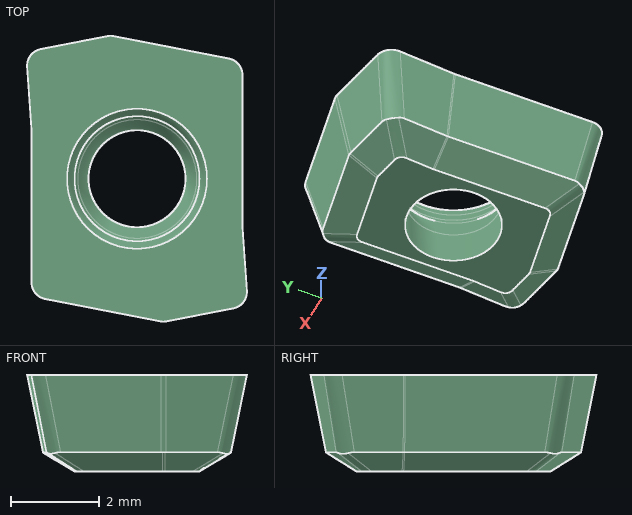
import cadquery as cq
import math

LENGTH = 6.5
HEIGHT = 2.2

STRAIGHT_WALL_X = 2.4
KNEE_Y = 1.12
FLARE_ANGLE = 4.0
PEAK_X = 0.6
END_SLOPE = 11.0

CORNER_RADIUS = 0.4
PEAK_RADIUS = 0.3
KNEE_RADIUS = 0.5

RELIEF_ANGLE = 11.0
BEVEL_ANGLE = 57.5
BEVEL_HEIGHT = 0.44

BORE_RADIUS = 1.1
SEAT_RADIUS = 1.35
COUNTERBORE_RADIUS = 1.42
MOUTH_RADIUS = 1.59
MOUTH_ARC_RADIUS = 0.4
COUNTERBORE_DEPTH = 0.5
COUNTERBORE_ARC_RADIUS = 0.25
SEAT_ARC_RADIUS = 1.0


def tan_deg(angle):
    return math.tan(math.radians(angle))


def cos_deg(angle):
    return math.cos(math.radians(angle))


def sin_deg(angle):
    return math.sin(math.radians(angle))


def wall_line(point, normal_angle, inset):
    """Wall as (nx, ny, distance from the axis), moved inward by inset."""
    nx = cos_deg(normal_angle)
    ny = sin_deg(normal_angle)
    return nx, ny, nx * point[0] + ny * point[1] - inset


def intersect(first, second):
    ax, ay, a = first
    bx, by, b = second
    det = ax * by - ay * bx
    return (a * by - b * ay) / det, (ax * b - bx * a) / det


def half_outline(inset):
    """Peak, flared corner, knee and straight corner of the top outline moved inward."""
    peak_loss = PEAK_RADIUS * (1 / cos_deg(END_SLOPE) - 1)
    apex = (PEAK_X, -LENGTH / 2 - peak_loss)
    knee = (STRAIGHT_WALL_X, -KNEE_Y)
    long_end = wall_line(apex, -90 - END_SLOPE, inset)
    short_end = wall_line(apex, -90 + END_SLOPE, inset)
    flared_wall = wall_line(knee, FLARE_ANGLE, inset)
    straight_wall = wall_line(knee, 0, inset)
    nx, ny, distance = long_end
    opposite_long_end = (-nx, -ny, distance)
    walls = [long_end, short_end, flared_wall, straight_wall, opposite_long_end]
    return [intersect(first, second) for first, second in zip(walls, walls[1:])]


def half_turn(point):
    return -point[0], -point[1]


def outline_wire(inset, z):
    """Closed outline at height z, sharp except for the slight concave knees."""
    peak, flared_corner, knee, straight_corner = half_outline(inset)
    tangent = KNEE_RADIUS * tan_deg(FLARE_ANGLE / 2)
    knee_start = (knee[0] + tangent * sin_deg(FLARE_ANGLE), knee[1] - tangent * cos_deg(FLARE_ANGLE))
    knee_end = (knee[0], knee[1] + tangent)
    return (
        cq.Workplane("XY", origin=(0, 0, z))
        .moveTo(*peak)
        .lineTo(*flared_corner)
        .lineTo(*knee_start)
        .radiusArc(knee_end, KNEE_RADIUS)
        .lineTo(*straight_corner)
        .lineTo(*half_turn(peak))
        .lineTo(*half_turn(flared_corner))
        .lineTo(*half_turn(knee_start))
        .radiusArc(half_turn(knee_end), KNEE_RADIUS)
        .lineTo(*half_turn(straight_corner))
        .close()
        .val()
    )


def rounded_frustum(bottom_inset, top_inset):
    """Full-height drafted block with its peaks, corners and knees rounded."""
    wires = [outline_wire(bottom_inset, 0), outline_wire(top_inset, HEIGHT)]
    block = cq.Workplane(cq.Solid.makeLoft(wires, True))
    peak, flared_corner, _, straight_corner = half_outline((bottom_inset + top_inset) / 2)
    rounded = [
        (peak, PEAK_RADIUS),
        (flared_corner, CORNER_RADIUS),
        (straight_corner, CORNER_RADIUS),
    ]
    for point, radius in rounded:
        for x, y in (point, half_turn(point)):
            edge = block.edges(cq.selectors.NearestToPointSelector((x, y, HEIGHT / 2)))
            block = edge.fillet(radius)
    return block


def body():
    relief_inset = HEIGHT * tan_deg(RELIEF_ANGLE)
    bevel_start_inset = (HEIGHT - BEVEL_HEIGHT) * tan_deg(RELIEF_ANGLE)
    bevel_bottom_inset = bevel_start_inset + BEVEL_HEIGHT * tan_deg(BEVEL_ANGLE)
    bevel_top_inset = bevel_bottom_inset - HEIGHT * tan_deg(BEVEL_ANGLE)
    relief = rounded_frustum(relief_inset, 0)
    bevel = rounded_frustum(bevel_bottom_inset, bevel_top_inset)
    return relief.intersect(bevel)


def arc_height(radius, width):
    """Axial length of an arc that leaves the vertical and moves sideways by width."""
    return math.sqrt(radius**2 - (radius - width) ** 2)


def screw_hole():
    mouth_depth = arc_height(MOUTH_ARC_RADIUS, MOUTH_RADIUS - COUNTERBORE_RADIUS)
    step_depth = arc_height(COUNTERBORE_ARC_RADIUS, COUNTERBORE_RADIUS - SEAT_RADIUS)
    seat_depth = arc_height(SEAT_ARC_RADIUS, SEAT_RADIUS - BORE_RADIUS)
    seat_z = HEIGHT - COUNTERBORE_DEPTH - step_depth
    return (
        cq.Workplane("XZ")
        .lineTo(BORE_RADIUS, 0)
        .lineTo(BORE_RADIUS, seat_z - seat_depth)
        .radiusArc((SEAT_RADIUS, seat_z), SEAT_ARC_RADIUS)
        .radiusArc((COUNTERBORE_RADIUS, HEIGHT - COUNTERBORE_DEPTH), -COUNTERBORE_ARC_RADIUS)
        .lineTo(COUNTERBORE_RADIUS, HEIGHT - mouth_depth)
        .radiusArc((MOUTH_RADIUS, HEIGHT), MOUTH_ARC_RADIUS)
        .lineTo(0, HEIGHT)
        .close()
        .revolve(360, (0, 0, 0), (0, 1, 0))
    )


result = body().cut(screw_hole())